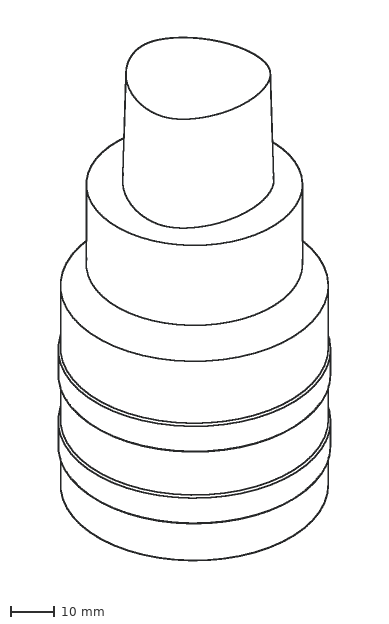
import cadquery as cq
import math

TOTAL_HEIGHT = 115.0
BODY_DIAMETER = 62.0
NECK_DIAMETER = 50.0
NECK_HEIGHT = 22.4
SHOULDER_HEIGHT = (BODY_DIAMETER - NECK_DIAMETER) / 2

FOOT_DIAMETER = 48.6
FOOT_HEIGHT = 0.7

RING_DIAMETER = 63.0
RING_WIDTH = 8.0
RING_BOTTOMS = (11.0, 31.2)
RING_CHAMFER = (RING_DIAMETER - BODY_DIAMETER) / 2

SHANK_HEIGHT = 30.0
SHANK_BASE_RADIUS = 17.5
SHANK_TAPER = 1 / 20
LOBE_OFFSET = 0.98

FLANGE_Z = TOTAL_HEIGHT - SHANK_HEIGHT


def turned_body():
    """Foot, main cylinder, conical shoulder and neck as one revolved profile."""
    shoulder_top = FLANGE_Z - NECK_HEIGHT
    shoulder_bottom = shoulder_top - SHOULDER_HEIGHT
    profile = [
        (0, 0),
        (FOOT_DIAMETER / 2, 0),
        (FOOT_DIAMETER / 2, FOOT_HEIGHT),
        (BODY_DIAMETER / 2, FOOT_HEIGHT),
        (BODY_DIAMETER / 2, shoulder_bottom),
        (NECK_DIAMETER / 2, shoulder_top),
        (NECK_DIAMETER / 2, FLANGE_Z),
        (0, FLANGE_Z),
    ]
    return cq.Workplane("XZ").polyline(profile).close().revolve(360, (0, 0), (0, 1))


def ring(bottom_z):
    """Raised ring with both rims chamfered down to the body."""
    disc = cq.Workplane("XY").workplane(offset=bottom_z).circle(RING_DIAMETER / 2).extrude(RING_WIDTH)
    return disc.edges("%CIRCLE").chamfer(RING_CHAMFER)


def lobed_section(mean_radius, z):
    """Closed constant-width curve with one of its three lobes pointing to -Y."""

    def point(t):
        angle = 2 * math.pi * t
        along = mean_radius * math.cos(angle)
        along += LOBE_OFFSET * (2 * math.cos(2 * angle) - math.cos(4 * angle))
        across = mean_radius * math.sin(angle)
        across -= LOBE_OFFSET * (2 * math.sin(2 * angle) + math.sin(4 * angle))
        return across, -along

    section_points = 48
    points = [cq.Vector(*point(i / section_points), z) for i in range(section_points)]
    return cq.Wire.assembleEdges([cq.Edge.makeSpline(points, periodic=True)])


def shank():
    """Lobed shank narrowing from the flange to the free end."""
    end_radius = SHANK_BASE_RADIUS - SHANK_HEIGHT * SHANK_TAPER / 2
    base = lobed_section(SHANK_BASE_RADIUS, FLANGE_Z)
    end = lobed_section(end_radius, TOTAL_HEIGHT)
    return cq.Workplane(cq.Solid.makeLoft([base, end], True))


result = turned_body().union(shank())
for ring_bottom in RING_BOTTOMS:
    result = result.union(ring(ring_bottom))